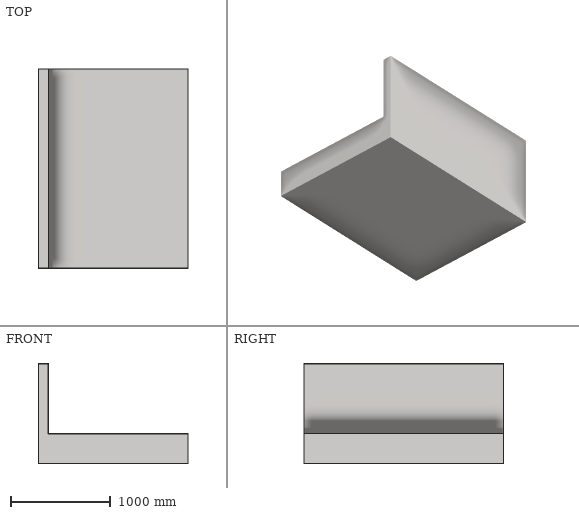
import cadquery as cq

length_x = 1500.0
width_y = 2000.0
height_z = 1000.0

wall_thickness = 100.0
base_thickness = 300.0


def l_profile():
    """Closed L outline in the XZ plane, outer corner at the origin."""
    return (
        cq.Workplane("XZ")
        .moveTo(0, 0)
        .lineTo(length_x, 0)
        .lineTo(length_x, base_thickness)
        .lineTo(wall_thickness, base_thickness)
        .lineTo(wall_thickness, height_z)
        .lineTo(0, height_z)
        .close()
    )


result = l_profile().extrude(-width_y)